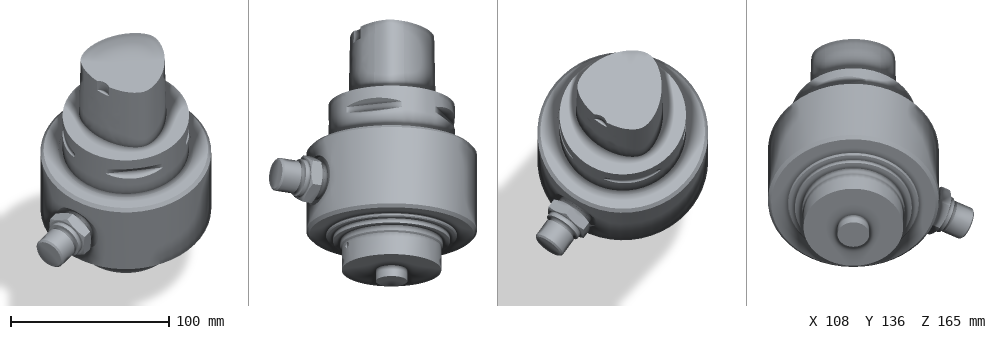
import cadquery as cq
import math


SHANK_LENGTH = 48.0
SHANK_WIDTH_FOOT = 55.2
SHANK_WIDTH_TOP = 53.2
SHANK_ECCENTRICITY = 2.1
LOBE_HALF_ANGLE = 33.0
LOBE_COUNT = 3
CURVE_STEPS = 8

NOTCH_DEPTH = 8.0
NOTCH_RADIUS = 7.0
NOTCH_FLOOR_Y = -22.5

COLLAR_DIA = 80.0
COLLAR_HEIGHT = 30.0
SLOT_COUNT = 4
SLOT_FIRST_ANGLE = 45.0
SLOT_CENTER_Z = -12.1
SLOT_FLOOR_WIDTH = 3.7
SLOT_FLOOR_DISTANCE = 35.5
SLOT_WALL_ANGLE = 30.0

HOUSING_DIA = 108.0
HOUSING_HEIGHT = 55.0
HOUSING_CHAMFER = 2.0
GAP_NECK_DIA = 70.0
GAP_HEIGHT = 0.5
HOUSING_TOP_Z = -COLLAR_HEIGHT - GAP_HEIGHT
HOUSING_BOTTOM_Z = HOUSING_TOP_Z - HOUSING_HEIGHT
SEAL_RECESS_DIA = 85.0
SEAL_RECESS_DEPTH = 0.2

FLANGE_NECK_DIA = 82.0
FLANGE_DIA = 82.9
FLANGE_TOP_Z = -86.2
FLANGE_BOTTOM_Z = -87.6
FLANGE_CHAMFER = 0.7
RING_DIA = 74.0
RING_BOTTOM_Z = -90.5
SHOULDER_DIA = 65.0
SHOULDER_BOTTOM_Z = -95.0
NOSE_DIA = 63.0
NOSE_BOTTOM_Z = -109.7
TUBE_DIA = 20.0
TUBE_BOTTOM_Z = -117.0
PIN_HOLE_DIA = 4.0
PIN_HOLE_Z = -97.8
PIN_HOLE_DEPTH = 4.0
DRILL_POINT_ANGLE = 118.0

FITTING_Z = -58.0
SPOT_FACE_DIA = 32.0
SPOT_FACE_FLOOR = 51.5
PLUG_DIA = 24.0
PLUG_START = 50.0
PLUG_END = 53.5
STEM_DIA = 23.8
HEX_START = 55.5
HEX_END = 63.5
HEX_SIDES = 6
HEX_ACROSS_FLATS = 27.0
HEX_FACE_DIA = 26.5
HEX_CHAMFER_ANGLE = 25.0
STEM_END = 66.5
THREAD_START = 69.0
THREAD_DIA = 21.0
THREAD_CHAMFER = 1.1
FITTING_END = 82.0


def revolve_about_y(points, z):
    """Turn (radius, distance along -Y) points around the line parallel to Y at height z."""
    profile = [(radius, -distance) for radius, distance in points]
    turned = cq.Workplane("XY").polyline(profile).close().revolve(360, (0, 0, 0), (0, 1, 0))
    return turned.translate((0, 0, z))


def lobed_point(width, normal_angle):
    """Point of the lobed outline whose outward normal has the given angle (degrees)."""
    t = math.radians(normal_angle)
    e = SHANK_ECCENTRICITY
    x = width / 2 * math.cos(t) + e * (2 * math.cos(2 * t) - math.cos(4 * t))
    y = width / 2 * math.sin(t) - e * (2 * math.sin(2 * t) + math.sin(4 * t))
    return (-y, x)


def lobed_wire(width, z):
    """Closed outline: a tight lobe curve and a flatter flank curve in turn."""
    pitch = 360.0 / LOBE_COUNT
    edges = []
    for i in range(LOBE_COUNT):
        lobe_start = i * pitch - LOBE_HALF_ANGLE
        lobe_end = i * pitch + LOBE_HALF_ANGLE
        for start, end in ((lobe_start, lobe_end), (lobe_end, lobe_start + pitch)):
            points = []
            for k in range(CURVE_STEPS + 1):
                x, y = lobed_point(width, start + (end - start) * k / CURVE_STEPS)
                points.append(cq.Vector(x, y, z))
            edges.append(cq.Edge.makeSpline(points))
    return cq.Wire.assembleEdges(edges)


def make_shank():
    foot = lobed_wire(SHANK_WIDTH_FOOT, 0)
    top = lobed_wire(SHANK_WIDTH_TOP, SHANK_LENGTH)
    shank = cq.Workplane(obj=cq.Solid.makeLoft([foot, top], True))
    notch = (
        cq.Workplane("XY", origin=(0, NOTCH_FLOOR_Y - NOTCH_RADIUS, SHANK_LENGTH - NOTCH_DEPTH))
        .circle(NOTCH_RADIUS)
        .extrude(NOTCH_DEPTH)
    )
    return shank.cut(notch)


def cut_gripper_slots(body):
    """Straight slots with sloping walls, spread around the collar."""
    depth = COLLAR_DIA / 2 - SLOT_FLOOR_DISTANCE
    floor_half = SLOT_FLOOR_WIDTH / 2
    mouth_half = floor_half + depth * math.tan(math.radians(SLOT_WALL_ANGLE))
    slot = (
        cq.Workplane("XZ")
        .polyline([
            (SLOT_FLOOR_DISTANCE, SLOT_CENTER_Z - floor_half),
            (COLLAR_DIA / 2, SLOT_CENTER_Z - mouth_half),
            (COLLAR_DIA / 2, SLOT_CENTER_Z + mouth_half),
            (SLOT_FLOOR_DISTANCE, SLOT_CENTER_Z + floor_half),
        ])
        .close()
        .extrude(COLLAR_DIA / 2, both=True)
    )
    for i in range(SLOT_COUNT):
        angle = SLOT_FIRST_ANGLE + i * 360.0 / SLOT_COUNT
        body = body.cut(slot.rotate((0, 0, 0), (0, 0, 1), angle))
    return body


def make_housing():
    """Chamfered drum with a flat-bottomed spot face for the fitting."""
    drum = (
        cq.Workplane("XY", origin=(0, 0, HOUSING_BOTTOM_Z))
        .circle(HOUSING_DIA / 2)
        .extrude(HOUSING_HEIGHT)
    )
    drum = drum.faces("<Z or >Z").edges().chamfer(HOUSING_CHAMFER)
    recess = (
        cq.Workplane("XY", origin=(0, 0, HOUSING_TOP_Z))
        .circle(SEAL_RECESS_DIA / 2)
        .extrude(-SEAL_RECESS_DEPTH)
    )
    spot_face = (
        cq.Workplane("XZ", origin=(0, -SPOT_FACE_FLOOR, FITTING_Z))
        .circle(SPOT_FACE_DIA / 2)
        .extrude(HOUSING_DIA / 2 - SPOT_FACE_FLOOR)
    )
    return drum.cut(recess).cut(spot_face)


def make_collar():
    collar = cq.Workplane("XY").circle(COLLAR_DIA / 2).extrude(-COLLAR_HEIGHT)
    neck_length = GAP_HEIGHT + SEAL_RECESS_DEPTH
    neck = collar.faces("<Z").workplane().circle(GAP_NECK_DIA / 2).extrude(neck_length)
    return cut_gripper_slots(neck)


def make_lower_steps():
    """Turned steps from the housing underside down to the tube."""
    flange_r = FLANGE_DIA / 2
    shoulder_chamfer = (SHOULDER_DIA - NOSE_DIA) / 2
    steps = (
        cq.Workplane("XZ")
        .polyline([
            (0, HOUSING_BOTTOM_Z),
            (FLANGE_NECK_DIA / 2, HOUSING_BOTTOM_Z),
            (FLANGE_NECK_DIA / 2, FLANGE_TOP_Z),
            (flange_r, FLANGE_TOP_Z),
            (flange_r, FLANGE_BOTTOM_Z + FLANGE_CHAMFER),
            (flange_r - FLANGE_CHAMFER, FLANGE_BOTTOM_Z),
            (RING_DIA / 2, FLANGE_BOTTOM_Z),
            (RING_DIA / 2, RING_BOTTOM_Z),
            (SHOULDER_DIA / 2, RING_BOTTOM_Z),
            (SHOULDER_DIA / 2, SHOULDER_BOTTOM_Z + shoulder_chamfer),
            (NOSE_DIA / 2, SHOULDER_BOTTOM_Z),
            (NOSE_DIA / 2, NOSE_BOTTOM_Z),
            (TUBE_DIA / 2, NOSE_BOTTOM_Z),
            (TUBE_DIA / 2, TUBE_BOTTOM_Z),
            (0, TUBE_BOTTOM_Z),
        ])
        .close()
        .revolve(360, (0, 0, 0), (0, 1, 0))
    )
    hole_r = PIN_HOLE_DIA / 2
    hole_end = NOSE_DIA / 2 - PIN_HOLE_DEPTH
    point_length = hole_r / math.tan(math.radians(DRILL_POINT_ANGLE / 2))
    pin_hole = revolve_about_y(
        [
            (0, NOSE_DIA / 2),
            (hole_r, NOSE_DIA / 2),
            (hole_r, hole_end),
            (0, hole_end - point_length),
        ],
        PIN_HOLE_Z,
    )
    return steps.cut(pin_hole)


def make_hex():
    """Hexagon with corners up and down, its corners bevelled at both ends."""
    corner_dia = HEX_ACROSS_FLATS / math.cos(math.pi / HEX_SIDES)
    corner_r = corner_dia / 2
    face_r = HEX_FACE_DIA / 2
    bevel = (corner_r - face_r) * math.tan(math.radians(HEX_CHAMFER_ANGLE))
    prism = (
        cq.Workplane("XZ", origin=(0, -HEX_START, FITTING_Z))
        .transformed(rotate=(0, 0, 90))
        .polygon(HEX_SIDES, corner_dia)
        .extrude(HEX_END - HEX_START)
    )
    envelope = revolve_about_y(
        [
            (0, HEX_START),
            (face_r, HEX_START),
            (corner_r, HEX_START + bevel),
            (corner_r, HEX_END - bevel),
            (face_r, HEX_END),
            (0, HEX_END),
        ],
        FITTING_Z,
    )
    return prism.intersect(envelope)


def make_undercut():
    """Ring whose inner half forms the half-round groove between stem and thread."""
    middle = (STEM_END + THREAD_START) / 2
    groove_r = (THREAD_START - STEM_END) / 2
    ring_r = THREAD_DIA / 2
    return (
        cq.Workplane("XY")
        .center(ring_r, -middle)
        .circle(groove_r)
        .revolve(360, (-ring_r, 0, 0), (-ring_r, 1, 0))
        .translate((0, 0, FITTING_Z))
    )


def make_fitting():
    plug_r = PLUG_DIA / 2
    stem_r = STEM_DIA / 2
    thread_r = THREAD_DIA / 2
    stem = revolve_about_y(
        [
            (0, PLUG_START),
            (plug_r, PLUG_START),
            (plug_r, PLUG_END),
            (stem_r, PLUG_END),
            (stem_r, STEM_END),
            (thread_r, STEM_END),
            (thread_r, FITTING_END - THREAD_CHAMFER),
            (thread_r - THREAD_CHAMFER, FITTING_END),
            (0, FITTING_END),
        ],
        FITTING_Z,
    )
    return stem.cut(make_undercut()).union(make_hex())


result = (
    make_housing()
    .union(make_collar())
    .union(make_shank())
    .union(make_lower_steps())
    .union(make_fitting())
)